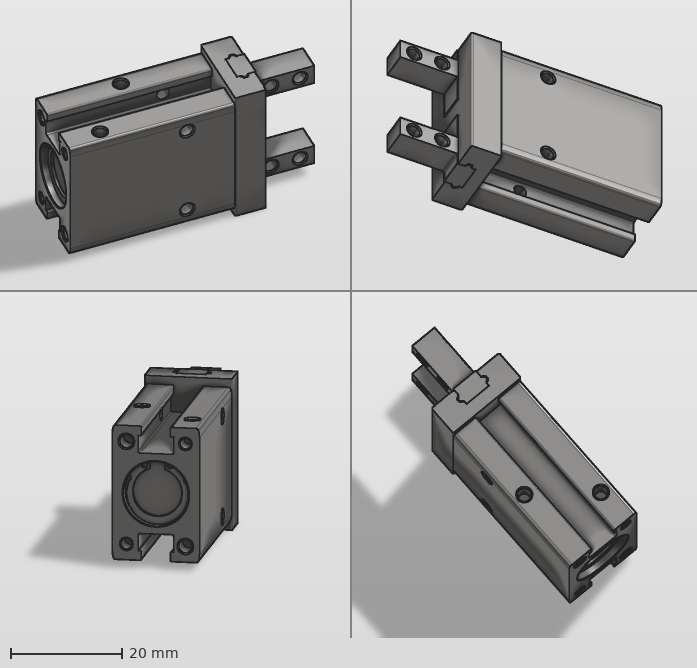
import cadquery as cq

TOTAL_LENGTH = 50.0
WIDTH = 16.0
PLATE_HEIGHT = 28.0
PLATE_BACK = 32.25
PLATE_FRONT = 38.35
PLATE_FRONT_ROUND = 0.3
PLATE_BACK_ROUND = 0.25

BODY_TOP = 12.45
FLAT_HALF_WIDTH = 7.25
CORNER_ROUND_WIDTH = 0.55
CORNER_ROUND_HEIGHT = 0.35
CORNER_DROP = 1.55
OPENING_HALF = 2.65
SLOT_HALF = 3.25
LEDGE_Z = 10.65
SLOT_FLOOR_Z = 7.45
LIP_ROUND = 0.3
SLOT_FLOOR_ROUND = 0.35

TAP_DIAMETER = 2.45
TAP_MOUTH = 3.0
SMALL_TAP_DIAMETER = 2.0
SMALL_TAP_MOUTH = 2.45
TAP_DEPTH = 4.0
HOLE_X = 5.4
HOLE_Z = 9.5
SIDE_HOLE_Y = 22.9
SIDE_HOLE_Z = 9.3
PORT_NEAR_BORE_Y = 6.95
PORT_NEAR_PLATE_Y = 15.55

BORE_DIAMETER = 12.0
BORE_CHAMFER = 0.15
RING_FACE_DEPTH = 1.45
RING_THICKNESS = 0.6
RING_INNER_RADIUS = 4.5
RING_OFFSET = 0.35
RING_GAP_INNER_HALF = 1.35
RING_GAP_OUTER_HALF = 1.55
RING_GAP_ROUND = 0.3
NOTCH_Z = 2.45
NOTCH_RADIUS = 0.65
LUG_HOLE_DIAMETER = 1.0
LUG_HOLE_X = 2.35
LUG_HOLE_Z = 4.9

FINGER_HALF_WIDTH = 2.65
FINGER_BACK = 34.85
FINGER_BASE_FRONT = 38.55
FINGER_BASE_INNER_Z = 2.0
ARM_CENTER_Z = 9.5
ARM_THICKNESS = 4.1
ARM_ROOT_ROUND = 0.3
FINGER_HOLES_Y = (41.55, 47.2)
RAIL_Y = 36.3
RAIL_TIP_HALF = 3.25
RAIL_TIP_HEIGHT = 0.2
RAIL_ROOT_HEIGHT = 1.4
GROOVE_TIP_HALF = 3.4
GROOVE_TIP_HEIGHT = 0.75
GROOVE_ROOT_HEIGHT = 1.75

FINGER_BASE_LENGTH = PLATE_HEIGHT / 2 - FINGER_BASE_INNER_Z
BORE_RADIUS = BORE_DIAMETER / 2


def tapped_hole(mouth, direction, depth, diameter=TAP_DIAMETER, mouth_diameter=TAP_MOUTH):
    """Cutter for a drilled hole whose mouth is widened by a 45 degree chamfer."""
    start = cq.Vector(*mouth)
    axis = cq.Vector(*direction)
    chamfer = (mouth_diameter - diameter) / 2
    drill = cq.Solid.makeCylinder(diameter / 2, depth, start, axis)
    cone = cq.Solid.makeCone(mouth_diameter / 2, diameter / 2, chamfer, start, axis)
    return drill.fuse(cone)


def section_ending_at(y):
    """Sketch plane across the part at Y = y; extrusions from it run toward -Y."""
    return cq.Workplane("XZ", origin=(0, y, 0))


def body_bar():
    """Extruded bar: long corners of two arcs each, a T-slot along the top and bottom."""
    half_width = WIDTH / 2
    shoulder_x = FLAT_HALF_WIDTH + CORNER_ROUND_WIDTH
    shoulder_z = BODY_TOP - CORNER_ROUND_HEIGHT
    quarter = (
        section_ending_at(PLATE_BACK)
        .moveTo(0, 0)
        .lineTo(half_width, 0)
        .lineTo(half_width, BODY_TOP - CORNER_DROP)
        .tangentArcPoint((shoulder_x, shoulder_z), relative=False)
        .tangentArcPoint((FLAT_HALF_WIDTH, BODY_TOP), relative=False)
        .lineTo(OPENING_HALF, BODY_TOP)
        .lineTo(OPENING_HALF, LEDGE_Z)
        .lineTo(SLOT_HALF, LEDGE_Z)
        .lineTo(SLOT_HALF, SLOT_FLOOR_Z)
        .lineTo(0, SLOT_FLOOR_Z)
        .close()
        .extrude(PLATE_BACK)
    )
    rounded_edges = (
        (OPENING_HALF, BODY_TOP, LIP_ROUND),
        (OPENING_HALF, LEDGE_Z, LIP_ROUND),
        (SLOT_HALF, SLOT_FLOOR_Z, SLOT_FLOOR_ROUND),
    )
    for x, z, radius in rounded_edges:
        edge = cq.selectors.NearestToPointSelector((x, PLATE_BACK / 2, z))
        quarter = quarter.edges(edge).fillet(radius)
    upper_half = quarter.union(quarter.mirror("YZ"))
    return upper_half.union(upper_half.mirror("XY"))


def end_plate():
    """Plate carrying the fingers, with its four upright corners rounded."""
    thickness = PLATE_FRONT - PLATE_BACK
    return (
        cq.Workplane("XY", origin=(0, (PLATE_FRONT + PLATE_BACK) / 2, 0))
        .box(WIDTH, thickness, PLATE_HEIGHT)
        .edges("|Z and >Y")
        .fillet(PLATE_FRONT_ROUND)
        .edges("|Z and <Y")
        .fillet(PLATE_BACK_ROUND)
    )


def retaining_ring():
    """Open ring standing on the bore floor, with two drilled lugs facing +Z."""
    back = RING_FACE_DEPTH + RING_THICKNESS
    ring = section_ending_at(back).circle(BORE_RADIUS).circle(RING_INNER_RADIUS).extrude(RING_THICKNESS)

    arms = (
        section_ending_at(back)
        .center(0, -RING_OFFSET)
        .circle(BORE_RADIUS - RING_OFFSET)
        .extrude(RING_THICKNESS)
    )
    lugs = (
        section_ending_at(back)
        .center(0, NOTCH_Z + BORE_RADIUS)
        .rect(2 * BORE_RADIUS, 2 * BORE_RADIUS)
        .extrude(RING_THICKNESS)
    )
    notch_x = (BORE_RADIUS**2 - NOTCH_Z**2) ** 0.5
    notches = (
        section_ending_at(back)
        .pushPoints([(-notch_x, NOTCH_Z), (notch_x, NOTCH_Z)])
        .circle(NOTCH_RADIUS)
        .extrude(RING_THICKNESS)
    )
    ring = ring.intersect(arms.union(lugs)).cut(notches)

    gap_z = (RING_INNER_RADIUS**2 - RING_GAP_INNER_HALF**2) ** 0.5
    gap_corners = [
        (-RING_GAP_INNER_HALF, gap_z),
        (RING_GAP_INNER_HALF, gap_z),
        (RING_GAP_OUTER_HALF, BORE_RADIUS),
        (-RING_GAP_OUTER_HALF, BORE_RADIUS),
    ]
    gap = section_ending_at(back).polyline(gap_corners).close().extrude(RING_THICKNESS)
    ring = ring.cut(gap)
    for side in (-1, 1):
        corner = (side * RING_GAP_INNER_HALF, back - RING_THICKNESS / 2, gap_z)
        ring = ring.edges(cq.selectors.NearestToPointSelector(corner)).fillet(RING_GAP_ROUND)

    lug_holes = (
        section_ending_at(back)
        .pushPoints([(-LUG_HOLE_X, LUG_HOLE_Z), (LUG_HOLE_X, LUG_HOLE_Z)])
        .circle(LUG_HOLE_DIAMETER / 2)
        .extrude(RING_THICKNESS)
    )
    return ring.cut(lug_holes)


def bore():
    """Cutter for the blind bore, leaving the retaining ring standing on its floor."""
    floor = RING_FACE_DEPTH + RING_THICKNESS
    hole = tapped_hole((0, 0, 0), (0, 1, 0), floor, BORE_DIAMETER, BORE_DIAMETER + 2 * BORE_CHAMFER)
    return cq.Workplane(hole).cut(retaining_ring())


def finger_section(tip_half, tip_height, root_height):
    """Prism along Z shared by the finger base and its socket: a tongue with a tapered rail each side."""
    tongue = (
        cq.Workplane("XY", origin=(0, 0, FINGER_BASE_INNER_Z))
        .center(0, (FINGER_BACK + FINGER_BASE_FRONT) / 2)
        .rect(2 * FINGER_HALF_WIDTH, FINGER_BASE_FRONT - FINGER_BACK)
        .extrude(FINGER_BASE_LENGTH)
    )
    rails = (
        cq.Workplane("XY", origin=(0, RAIL_Y, FINGER_BASE_INNER_Z))
        .moveTo(tip_half, tip_height / 2)
        .lineTo(FINGER_HALF_WIDTH, root_height / 2)
        .lineTo(-FINGER_HALF_WIDTH, root_height / 2)
        .lineTo(-tip_half, tip_height / 2)
        .lineTo(-tip_half, -tip_height / 2)
        .lineTo(-FINGER_HALF_WIDTH, -root_height / 2)
        .lineTo(FINGER_HALF_WIDTH, -root_height / 2)
        .lineTo(tip_half, -tip_height / 2)
        .close()
        .extrude(FINGER_BASE_LENGTH)
    )
    return tongue.union(rails)


def make_housing():
    """Body bar and end plate with the bore, the tapped holes and the two finger sockets."""
    housing = body_bar().union(end_plate()).cut(bore())

    for side in (-1, 1):
        large = tapped_hole((side * HOLE_X, 0, -side * HOLE_Z), (0, 1, 0), TAP_DEPTH)
        small = tapped_hole(
            (side * HOLE_X, 0, side * HOLE_Z),
            (0, 1, 0),
            TAP_DEPTH,
            SMALL_TAP_DIAMETER,
            SMALL_TAP_MOUTH,
        )
        housing = housing.cut(cq.Workplane(large)).cut(cq.Workplane(small))

    for side in (-1, 1):
        for z in (-SIDE_HOLE_Z, SIDE_HOLE_Z):
            cross_hole = tapped_hole((side * WIDTH / 2, SIDE_HOLE_Y, z), (-side, 0, 0), WIDTH / 2)
            housing = housing.cut(cq.Workplane(cross_hole))

    for x, y in ((HOLE_X, PORT_NEAR_BORE_Y), (-HOLE_X, PORT_NEAR_PLATE_Y)):
        port = tapped_hole((x, y, BODY_TOP), (0, 0, -1), TAP_DEPTH)
        housing = housing.cut(cq.Workplane(port))

    socket = finger_section(GROOVE_TIP_HALF, GROOVE_TIP_HEIGHT, GROOVE_ROOT_HEIGHT)
    return housing.cut(socket).cut(socket.mirror("XY"))


def make_finger(side_z):
    """Finger on the +Z (1) or -Z (-1) side: railed base and an arm with two tapped cross holes."""
    arm_length = TOTAL_LENGTH - FINGER_BASE_FRONT
    arm = (
        cq.Workplane("XY")
        .box(2 * FINGER_HALF_WIDTH, arm_length, ARM_THICKNESS)
        .translate((0, FINGER_BASE_FRONT + arm_length / 2, ARM_CENTER_Z))
    )
    base = finger_section(RAIL_TIP_HALF, RAIL_TIP_HEIGHT, RAIL_ROOT_HEIGHT)
    root = cq.selectors.NearestToPointSelector((0, FINGER_BASE_FRONT, ARM_CENTER_Z + ARM_THICKNESS / 2))
    finger = base.union(arm).edges(root).fillet(ARM_ROOT_ROUND)
    for side_x in (-1, 1):
        for y in FINGER_HOLES_Y:
            mouth = (side_x * FINGER_HALF_WIDTH, y, ARM_CENTER_Z)
            hole = tapped_hole(mouth, (-side_x, 0, 0), FINGER_HALF_WIDTH)
            finger = finger.cut(cq.Workplane(hole))
    return finger if side_z > 0 else finger.mirror("XY")


housing = make_housing()
fingers = [make_finger(side) for side in (1, -1)]

result = cq.Compound.makeCompound([housing.val(), *[copy.val() for copy in fingers]])